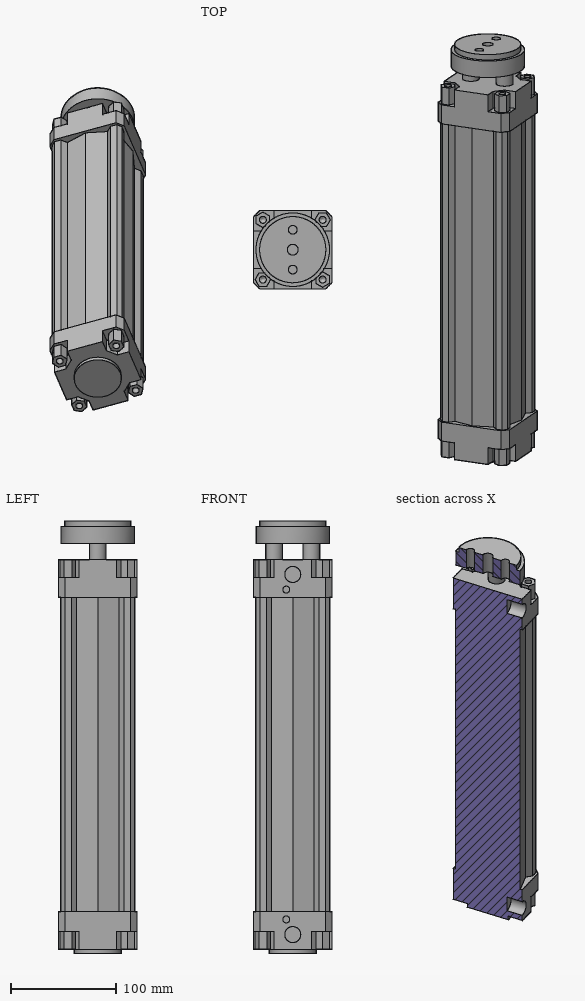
import cadquery as cq
import math

TOTAL_HEIGHT = 412.0
BOSS_HEIGHT = 4.0
CAP_HEIGHT = 36.0
ROD_GAP = 15.2
FLANGE_HEIGHT = 16.5
FLANGE_STEP_HEIGHT = 5.5

FLANGE_TOP = TOTAL_HEIGHT - FLANGE_STEP_HEIGHT
FLANGE_BOTTOM = FLANGE_TOP - FLANGE_HEIGHT
TOP_CAP_FACE = FLANGE_BOTTOM - ROD_GAP
TUBE_TOP = TOP_CAP_FACE - CAP_HEIGHT
TUBE_BOTTOM = BOSS_HEIGHT + CAP_HEIGHT
TUBE_LENGTH = TUBE_TOP - TUBE_BOTTOM

CAP_WIDTH = 75.0
CAP_HALF = CAP_WIDTH / 2
CAP_CHAMFER = 6.0
BOSS_DIAMETER = 45.0

NOTCH_DEPTH = 17.0
NOTCH_INNER = 17.7
NOTCH_WALL_END = 26.0

HEAD_OFFSET = 28.5
HEAD_ACROSS_FLATS = 12.8
HEXAGON_HALF_ANGLE = 30.0
HEAD_CORNER_DIAMETER = HEAD_ACROSS_FLATS / math.cos(math.radians(HEXAGON_HALF_ANGLE))
SOCKET_DIAMETER = 6.5
SOCKET_DEPTH = 8.2
SOCKET_TIP_ANGLE = 118.0

PORT_DIAMETER = 15.2
PORT_HEIGHT = 22.0
PORT_DEPTH = 16.5
SCREW_HOLE_DIAMETER = 6.5
SCREW_HOLE_HEIGHT = 7.5
SCREW_HOLE_X = -6.0
SCREW_HOLE_DEPTH = 12.5

TUBE_HALF = 35.0
TUBE_CHAMFER = 3.7
LOBE_INNER = 25.0
RIDGE_HALF = 35.5
VALLEY_DEPTH = 5.0
VALLEY_X = LOBE_INNER - VALLEY_DEPTH

ROD_DIAMETER = 16.0
ROD_OFFSET = 17.7
FLANGE_DIAMETER = 70.0
FLANGE_STEP_DIAMETER = 63.0
CENTRE_HOLE_DIAMETER = 10.5
SIDE_HOLE_DIAMETER = 8.2
SIDE_HOLE_OFFSET = 19.0


def make_tube():
    """Tube between the caps; one side's outline is repeated around Z."""
    side = [
        (-TUBE_HALF + TUBE_CHAMFER, -TUBE_HALF),
        (-LOBE_INNER, -TUBE_HALF),
        (-VALLEY_X, -TUBE_HALF + VALLEY_DEPTH),
        (0, -RIDGE_HALF),
        (VALLEY_X, -TUBE_HALF + VALLEY_DEPTH),
        (LOBE_INNER, -TUBE_HALF),
        (TUBE_HALF - TUBE_CHAMFER, -TUBE_HALF),
    ]
    outline = []
    for _ in range(4):
        outline += side
        side = [(-y, x) for x, y in side]
    return cq.Workplane("XY").workplane(offset=TUBE_BOTTOM).polyline(outline).close().extrude(TUBE_LENGTH)


def make_corner_notch():
    """Cutter for the notch at the (-X, -Y) corner."""
    return (
        cq.Workplane("XY")
        .workplane(offset=CAP_HEIGHT - NOTCH_DEPTH)
        .polyline([
            (-CAP_HALF, -CAP_HALF),
            (-NOTCH_INNER, -CAP_HALF),
            (-NOTCH_INNER, -NOTCH_WALL_END),
            (-NOTCH_WALL_END, -NOTCH_INNER),
            (-CAP_HALF, -NOTCH_INNER),
        ])
        .close()
        .extrude(NOTCH_DEPTH)
    )


def make_tie_rod_head():
    """Hexagonal head at the (-X, -Y) corner, with a drilled socket."""
    head = (
        cq.Workplane("XY")
        .workplane(offset=CAP_HEIGHT - NOTCH_DEPTH)
        .center(-HEAD_OFFSET, -HEAD_OFFSET)
        .polygon(6, HEAD_CORNER_DIAMETER)
        .extrude(NOTCH_DEPTH)
    )
    socket_radius = SOCKET_DIAMETER / 2
    tip_length = socket_radius / math.tan(math.radians(SOCKET_TIP_ANGLE / 2))
    socket = (
        cq.Workplane("XZ")
        .polyline([
            (0, 0),
            (socket_radius, 0),
            (socket_radius, -SOCKET_DEPTH),
            (0, -SOCKET_DEPTH - tip_length),
        ])
        .close()
        .revolve(360, (0, 0), (0, 1))
        .translate((-HEAD_OFFSET, -HEAD_OFFSET, CAP_HEIGHT))
    )
    return head.cut(socket)


def make_front_hole(x, z, diameter, depth):
    """Cutter for a blind hole that enters the -Y face."""
    return cq.Workplane("XZ", origin=(x, -CAP_HALF, z)).circle(diameter / 2).extrude(-depth)


def make_end_cap():
    """End cap with its tube end at Z = 0 and its outer face at Z = CAP_HEIGHT."""
    cap = (
        cq.Workplane("XY")
        .rect(CAP_WIDTH, CAP_WIDTH)
        .extrude(CAP_HEIGHT)
        .edges("|Z")
        .chamfer(CAP_CHAMFER)
    )
    notch = make_corner_notch()
    head = make_tie_rod_head()
    for angle in (0, 90, 180, 270):
        cap = cap.cut(notch.rotate((0, 0, 0), (0, 0, 1), angle))
        cap = cap.union(head.rotate((0, 0, 0), (0, 0, 1), angle))
    cap = cap.cut(make_front_hole(0, PORT_HEIGHT, PORT_DIAMETER, PORT_DEPTH))
    return cap.cut(make_front_hole(SCREW_HOLE_X, SCREW_HOLE_HEIGHT, SCREW_HOLE_DIAMETER, SCREW_HOLE_DEPTH))


def make_housing():
    """Tube, two mirrored end caps and the round boss on the bottom."""
    cap = make_end_cap()
    top_cap = cap.translate((0, 0, TUBE_TOP))
    bottom_cap = cap.mirror("XY").translate((0, 0, TUBE_BOTTOM))
    boss = cq.Workplane("XY").circle(BOSS_DIAMETER / 2).extrude(BOSS_HEIGHT)
    return make_tube().union(top_cap).union(bottom_cap).union(boss)


def make_piston():
    """Stepped round plate on two rods that stand on the top cap."""
    plate = (
        cq.Workplane("XY")
        .workplane(offset=FLANGE_BOTTOM)
        .circle(FLANGE_DIAMETER / 2)
        .extrude(FLANGE_HEIGHT)
        .faces(">Z")
        .workplane()
        .circle(FLANGE_STEP_DIAMETER / 2)
        .extrude(FLANGE_STEP_HEIGHT)
    )
    plate = plate.faces(">Z").workplane().hole(CENTRE_HOLE_DIAMETER)
    plate = (
        plate.faces(">Z")
        .workplane()
        .pushPoints([(0, -SIDE_HOLE_OFFSET), (0, SIDE_HOLE_OFFSET)])
        .hole(SIDE_HOLE_DIAMETER)
    )
    rods = (
        cq.Workplane("XY")
        .workplane(offset=TOP_CAP_FACE)
        .pushPoints([(-ROD_OFFSET, 0), (ROD_OFFSET, 0)])
        .circle(ROD_DIAMETER / 2)
        .extrude(ROD_GAP)
    )
    return plate.union(rods)


housing = make_housing()
piston = make_piston()

result = cq.Compound.makeCompound([housing.val(), piston.val()])